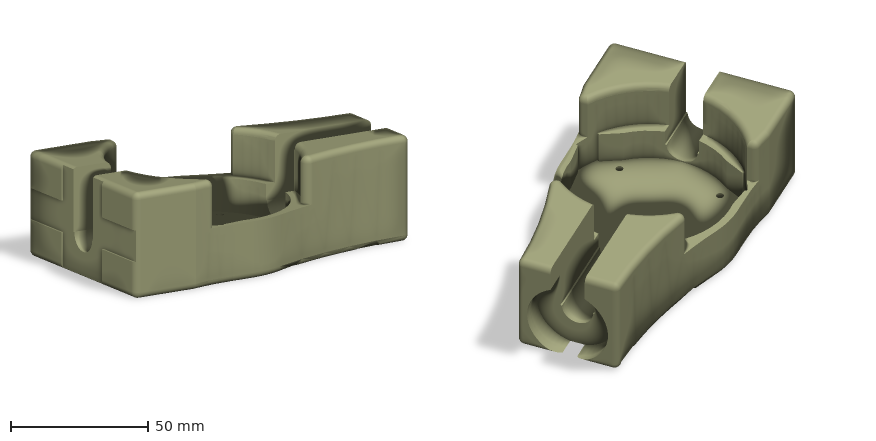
import cadquery as cq
import math

body_height = 40.0
body_length = 128.9
body_width = 73.6
waist_width = 70.0
rear_y = 76.7
front_y = rear_y - body_length
edge_radius = 2.5

front_half_width = body_width / 2
front_flank_y = -26.0
waist_half_width = waist_width / 2
waist_front_y = -9.0
shoulder_y = 13.1
shoulder_x = math.sqrt(waist_half_width**2 - shoulder_y**2)
rear_half_width = 20.0

floor_z = 9.0
pocket_radius = 32.1
ledge_z = 21.9
ledge_radius = 36.0
ledge_front_y = -17.4
ledge_rear_y = 27.6

relief_angle = 28.0
relief_mouth_half_width = 12.2
relief_neck_half_width = 5.0
relief_neck_reach = 34.7

hole_spacing = 39.7
hole_diameter = 2.8

channel_width = 13.5
channel_round_diameter = 12.2
channel_axis_z = 15.7
rear_bore_radius = 16.0
rear_bore_depth = 9.4

recess_depth = 0.8
recess_upright_width = 27.7
recess_bar_height = 12.0


def arc_middle(start, tangent, end):
    """Middle point of the arc leaving start along the unit tangent and reaching end."""
    chord_x = end[0] - start[0]
    chord_y = end[1] - start[1]
    chord = math.hypot(chord_x, chord_y)
    cross = tangent[0] * chord_y - tangent[1] * chord_x
    half_turn = math.asin(cross / chord)
    sagitta = chord / 2 * math.tan(half_turn / 2)
    middle_x = (start[0] + end[0]) / 2 + sagitta * chord_y / chord
    middle_y = (start[1] + end[1]) / 2 - sagitta * chord_x / chord
    return middle_x, middle_y


def y_cylinder(radius, start_y, length):
    """Cylinder on the channel axis, running toward +Y from start_y."""
    return (
        cq.Workplane("XZ", origin=(0, start_y, channel_axis_z))
        .circle(radius)
        .extrude(-length)
    )


def make_block():
    """Full-height body: wide front, rounded waist and a concave taper to the rear."""
    waist_start = (waist_half_width, waist_front_y)
    flank = (front_half_width, front_flank_y)
    flank_middle = arc_middle(waist_start, (0, -1), flank)

    shoulder = (shoulder_x, shoulder_y)
    shoulder_tangent = (-shoulder_y / waist_half_width, shoulder_x / waist_half_width)
    rear_corner = (rear_half_width, rear_y)
    taper_middle = arc_middle(shoulder, shoulder_tangent, rear_corner)

    half_shoulder_angle = math.asin(shoulder_y / waist_half_width) / 2
    waist_middle = (
        waist_half_width * math.cos(half_shoulder_angle),
        waist_half_width * math.sin(half_shoulder_angle),
    )

    half = (
        cq.Workplane("XY")
        .moveTo(0, front_y)
        .lineTo(front_half_width, front_y)
        .lineTo(*flank)
        .threePointArc(flank_middle, waist_start)
        .lineTo(waist_half_width, 0)
        .threePointArc(waist_middle, shoulder)
        .threePointArc(taper_middle, rear_corner)
        .lineTo(0, rear_y)
        .close()
        .extrude(body_height)
    )
    block = half.union(half.mirror("YZ"))
    corners = block.edges("|Z and (<Y or >Y)")
    return corners.fillet(edge_radius)


def cut_ledge(block):
    """Open the middle above the ledge, leaving raised front and rear blocks, and round them."""
    cut_height = body_height - ledge_z
    gap = (
        cq.Workplane("XY", origin=(0, (ledge_front_y + ledge_rear_y) / 2, ledge_z))
        .rect(body_width, ledge_rear_y - ledge_front_y)
        .extrude(cut_height)
    )
    round_wall = cq.Workplane("XY", origin=(0, 0, ledge_z)).circle(ledge_radius).extrude(cut_height)
    opened = block.cut(gap).cut(round_wall)

    for end_y in (ledge_front_y, ledge_rear_y):
        for side in (-1, 1):
            tip = cq.selectors.NearestToPointSelector(
                (side * front_half_width, end_y, (body_height + ledge_z) / 2)
            )
            opened = opened.edges("|Z").edges(tip).fillet(edge_radius)
    return opened.faces("<Z or >Z").edges().fillet(edge_radius)


def make_relief():
    """Flared side relief, pointing along +X before it is turned into place."""
    mouth_x = math.sqrt(pocket_radius**2 - relief_mouth_half_width**2)
    tip_x = math.sqrt(ledge_radius**2 - relief_neck_half_width**2)
    return (
        cq.Workplane("XY", origin=(0, 0, floor_z))
        .moveTo(mouth_x, -relief_mouth_half_width)
        .lineTo(relief_neck_reach, -relief_neck_half_width)
        .lineTo(tip_x, -relief_neck_half_width)
        .threePointArc((ledge_radius, 0), (tip_x, relief_neck_half_width))
        .lineTo(relief_neck_reach, relief_neck_half_width)
        .lineTo(mouth_x, relief_mouth_half_width)
        .close()
        .extrude(ledge_z - floor_z)
    )


def make_pocket():
    """Round pocket with a relief toward the front on each side."""
    pocket = (
        cq.Workplane("XY", origin=(0, 0, floor_z))
        .circle(pocket_radius)
        .extrude(body_height - floor_z)
    )
    for angle in (-relief_angle, relief_angle - 180):
        pocket = pocket.union(make_relief().rotate((0, 0, 0), (0, 0, 1), angle))
    return pocket


def make_channel():
    """Round-bottomed channel with a wider straight top and a large bore at the rear end."""
    straight_top = (
        cq.Workplane("XY", origin=(0, front_y + body_length / 2, channel_axis_z))
        .rect(channel_width, body_length)
        .extrude(body_height - channel_axis_z)
    )
    round_bottom = y_cylinder(channel_round_diameter / 2, front_y, body_length)
    rear_bore = y_cylinder(rear_bore_radius, rear_y - rear_bore_depth, rear_bore_depth)
    return straight_top.union(round_bottom).union(rear_bore)


def make_screw_holes():
    """Four through holes at the corners of a square."""
    return (
        cq.Workplane("XY")
        .rect(hole_spacing, hole_spacing, forConstruction=True)
        .vertices()
        .circle(hole_diameter / 2)
        .extrude(floor_z)
    )


def make_front_recess():
    """Shallow upright and crossbar, leaving four raised corner pads."""
    face = cq.Workplane("XZ", origin=(0, front_y, body_height / 2))
    upright = face.rect(recess_upright_width, body_height).extrude(-recess_depth)
    crossbar = face.rect(body_width, recess_bar_height).extrude(-recess_depth)
    return upright.union(crossbar)


result = (
    cut_ledge(make_block())
    .cut(make_pocket())
    .cut(make_channel())
    .cut(make_screw_holes())
    .cut(make_front_recess())
)